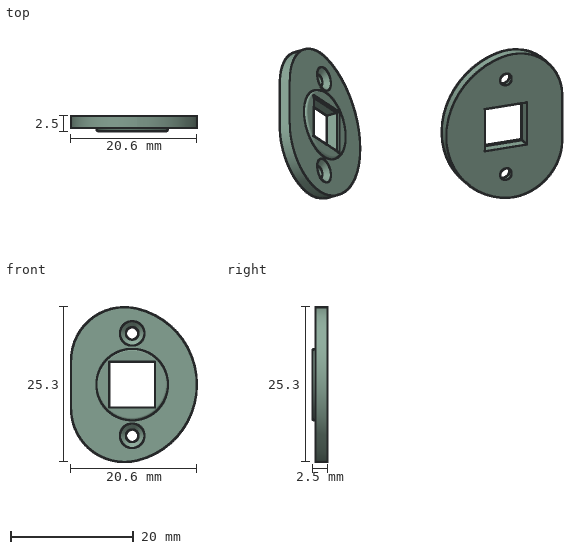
import cadquery as cq
import math

plate_height = 25.3
plate_width = 20.57
plate_thickness = 2.0
left_edge = -10.0
corner_radius = 8.75

disc_radius = 5.85
disc_height = 0.5
disc_fillet = 0.4

window_side = 7.41

screw_offset = 8.35
screw_diameter = 2.0
countersink_diameter = 2 * screw_diameter
countersink_angle = 90

half_height = plate_height / 2
right_edge = left_edge + plate_width
corner_x = left_edge + corner_radius
corner_z = half_height - corner_radius
right_arc_radius = (
    (plate_width - corner_radius) ** 2 + corner_z**2 - corner_radius**2
) / (2 * (plate_width - 2 * corner_radius))
right_arc_x = right_edge - right_arc_radius

tangent_angle = math.atan2(corner_z, corner_x - right_arc_x)
tangent_x = right_arc_x + right_arc_radius * math.cos(tangent_angle)
tangent_z = right_arc_radius * math.sin(tangent_angle)

corner_mid_angle = (tangent_angle + math.pi) / 2
corner_mid_x = corner_x + corner_radius * math.cos(corner_mid_angle)
corner_mid_z = corner_z + corner_radius * math.sin(corner_mid_angle)


def cut_window(body):
    """Cut the square window through a body along Y."""
    through_length = 2 * (plate_thickness + disc_height)
    return body.cut(cq.Workplane("XY").box(window_side, through_length, window_side))


def make_plate():
    """Flange with a flat left side, a large right arc and two screw holes."""
    plate = (
        cq.Workplane("XZ")
        .moveTo(left_edge, -corner_z)
        .lineTo(left_edge, corner_z)
        .threePointArc((corner_mid_x, corner_mid_z), (tangent_x, tangent_z))
        .threePointArc((right_edge, 0), (tangent_x, -tangent_z))
        .threePointArc((corner_mid_x, -corner_mid_z), (left_edge, -corner_z))
        .close()
        .extrude(-plate_thickness)
    )
    plate = (
        plate.faces("<Y")
        .workplane(origin=(0, 0, 0))
        .pushPoints([(0, screw_offset), (0, -screw_offset)])
        .cskHole(screw_diameter, countersink_diameter, countersink_angle)
    )
    return cut_window(plate)


def make_disc():
    """Round disc with a rounded front rim, seated on the plate."""
    disc = cq.Workplane("XZ").circle(disc_radius).extrude(disc_height)
    disc = disc.faces("<Y").edges().fillet(disc_fillet)
    return cut_window(disc)


plate = make_plate()
disc = make_disc()

result = cq.Compound.makeCompound([plate.val(), disc.val()])